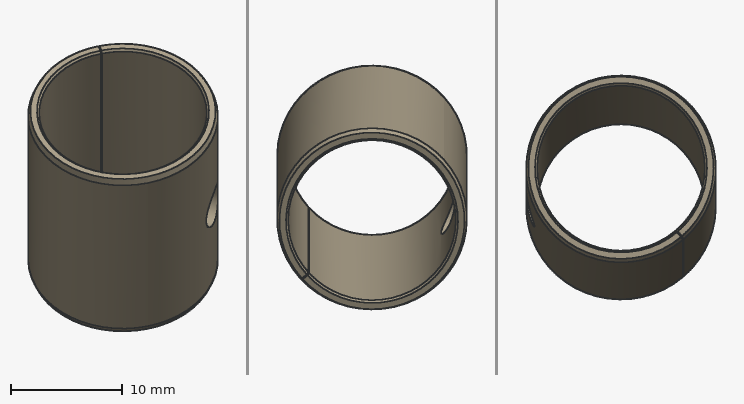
import cadquery as cq
import math

length = 20.0
outer_diameter = 17.0
wall = 1.0
bore_diameter = outer_diameter - 2 * wall

outer_chamfer_height = 0.6
outer_chamfer_angle = 20.0
outer_chamfer_depth = outer_chamfer_height * math.tan(math.radians(outer_chamfer_angle))
bore_chamfer = 0.2

joint_gap = 0.1

oil_hole_diameter = 4.0
oil_hole_angle = 59.6


def make_sleeve():
    """Revolve the wall section, with all four corners chamfered."""
    outer = outer_diameter / 2
    bore = bore_diameter / 2
    top = length / 2
    section = [
        (bore, top - bore_chamfer),
        (bore + bore_chamfer, top),
        (outer - outer_chamfer_depth, top),
        (outer, top - outer_chamfer_height),
        (outer, -top + outer_chamfer_height),
        (outer - outer_chamfer_depth, -top),
        (bore + bore_chamfer, -top),
        (bore, -top + bore_chamfer),
    ]
    return cq.Workplane("XZ").polyline(section).close().revolve(360, (0, 0), (0, 1))


def make_joint_cutter():
    """Thin slab from the middle out through the -X wall."""
    slab = cq.Workplane("XY").box(outer_diameter, joint_gap, length)
    return slab.translate((-outer_diameter / 2, joint_gap / 2, 0))


def make_oil_hole_cutter():
    """Cylinder from the axis out through one wall at mid-length."""
    cutter = cq.Workplane("YZ").circle(oil_hole_diameter / 2).extrude(outer_diameter)
    return cutter.rotate((0, 0, 0), (0, 0, 1), oil_hole_angle)


result = make_sleeve().cut(make_joint_cutter()).cut(make_oil_hole_cutter())